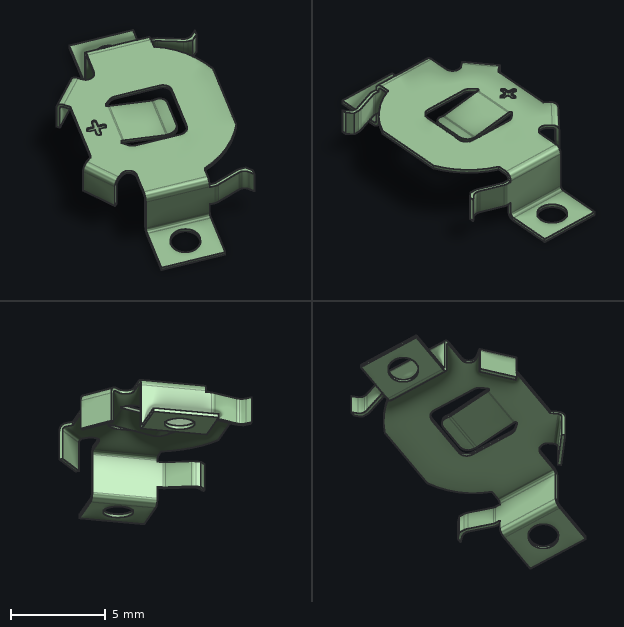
import math

import cadquery as cq

sheet = 0.2
total_length = 16.1
total_height = 2.95
band_width = 3.55
bend_inner = sheet
bend_mid = bend_inner + sheet / 2
bend_outer = bend_inner + sheet
sheet_mid_z = total_height - sheet / 2
overlap = 0.3

cover_radius = 4.75
cover_back_y = 4.3
cover_front_y = -3.7
wall_outer_x = 5.35
wall_bend_x = wall_outer_x - bend_outer

foot_hole_x = 6.65
foot_hole_diameter = 1.6

leg_angle = 50.0
leg_width = 2.0
leg_height = 2.0
leg_outer_radius = 4.79
leg_bend_radius = leg_outer_radius - bend_outer
leg_relief_radius = 0.45

window_half = 1.775
window_corner_radius = 0.5
window_taper_y = -1.42
window_taper_angle = 50.0
notch_y = -1.87
notch_radius = 0.06
tongue_width = 2.5
tongue_root_y = -1.79
tongue_bend_y = 0.62
tongue_tip_length = 0.67
tongue_drop_angle = 10.0
tongue_tip_angle = 10.0
tongue_corner_radius = 0.5

arm_top_z = total_height - 0.48
arm_height = 1.42
arm_straight_end_y = 2.05
arm_lean_angle = 20.0
arm_lean_length = 1.37
arm_flare_angle = 45.0
arm_root_bend_inner = 0.4
arm_lean_bend_inner = 0.5
arm_flare_bend_inner = 0.47
arm_flare_stock = 0.6

cross_y = -2.82
cross_length = 1.05
cross_bar_width = 0.24
cross_depth = 0.1


def bent_strip(plane, start, heading, steps, width):
    """Sheet strip swept along a bent path and extruded by width along the plane normal.

    start is a mid-thickness point and heading is in degrees. Each step is
    ("line", length), ("bend", turn, inner radius) or ("sharp bend", turn, inner radius),
    with left turns positive. A sharp bend is round inside and has a corner outside.
    """
    half = sheet / 2

    def polar(centre, radius, direction):
        angle = math.radians(direction)
        return centre[0] + radius * math.cos(angle), centre[1] + radius * math.sin(angle)

    def side_points(point, direction):
        return polar(point, half, direction + 90), polar(point, half, direction - 90)

    point = start
    first_left, right_start = side_points(point, heading)
    left_path = []
    right_path = []
    for kind, amount, *radius in steps:
        left_via, right_via = None, None
        if kind == "line":
            point = polar(point, amount, heading)
        else:
            inner = radius[0]
            outer = inner + sheet
            toward_centre = math.copysign(90, amount)
            centre = polar(point, inner + half, heading + toward_centre)
            outward = heading + amount / 2 - toward_centre
            inner_via = ("arc", polar(centre, inner, outward))
            outer_via = ("arc", polar(centre, outer, outward))
            if kind == "sharp bend":
                corner_radius = outer / math.cos(math.radians(amount / 2))
                outer_via = ("corner", polar(centre, corner_radius, outward))
            left_via, right_via = (inner_via, outer_via) if amount > 0 else (outer_via, inner_via)
            heading += amount
            point = polar(centre, inner + half, heading - toward_centre)
        left_end, right_end = side_points(point, heading)
        left_path.append((left_via, left_end))
        right_path.append((right_via, right_start))
        right_start = right_end

    def draw(outline, path):
        for via, end in path:
            if via and via[0] == "arc":
                outline = outline.threePointArc(via[1], end)
            elif via:
                outline = outline.lineTo(*via[1]).lineTo(*end)
            else:
                outline = outline.lineTo(*end)
        return outline

    outline = draw(cq.Workplane(plane).moveTo(*first_left), left_path)
    outline = draw(outline.lineTo(*right_start), reversed(right_path))
    return outline.close().extrude(width)


def mirrored(body):
    """The body together with its mirror image across the YZ plane."""
    return body.union(body.mirror("YZ"))


def leg_point(radial, sideways):
    """Plan point of the right leg; sideways is positive toward the side band."""
    c = math.cos(math.radians(leg_angle))
    s = math.sin(math.radians(leg_angle))
    return radial * c + sideways * s, -radial * s + sideways * c


def half_cover_outline():
    """Right half of the flat plate, closed along the Y axis."""
    half_band = band_width / 2
    back_x = math.sqrt(cover_radius**2 - cover_back_y**2)
    shoulder_x = math.sqrt(cover_radius**2 - half_band**2)
    arc_angle = (math.atan2(cover_back_y, back_x) + math.atan2(half_band, shoulder_x)) / 2
    arc_mid = (cover_radius * math.cos(arc_angle), cover_radius * math.sin(arc_angle))

    c = math.cos(math.radians(leg_angle))
    s = math.sin(math.radians(leg_angle))
    r = leg_relief_radius
    relief_y = -half_band - r
    relief_sideways = leg_width / 2 + r
    relief_x = (relief_sideways - relief_y * c) / s
    relief_radial = relief_x * c - relief_y * s
    band_touch_angle = 90
    leg_touch_angle = 270 - leg_angle
    mid_angle = math.radians((band_touch_angle + leg_touch_angle) / 2)
    relief_mid = (relief_x + r * math.cos(mid_angle), relief_y + r * math.sin(mid_angle))

    front_corner_radial = (-cover_front_y - leg_width / 2 * c) / s
    return (
        cq.Workplane("XY", origin=(0, 0, total_height - sheet))
        .moveTo(0, cover_back_y)
        .lineTo(back_x, cover_back_y)
        .threePointArc(arc_mid, (shoulder_x, half_band))
        .lineTo(wall_bend_x, half_band)
        .lineTo(wall_bend_x, -half_band)
        .lineTo(relief_x, -half_band)
        .threePointArc(relief_mid, leg_point(relief_radial, leg_width / 2))
        .lineTo(*leg_point(leg_bend_radius, leg_width / 2))
        .lineTo(*leg_point(leg_bend_radius, -leg_width / 2))
        .lineTo(*leg_point(front_corner_radial, -leg_width / 2))
        .lineTo(0, cover_front_y)
        .close()
    )


def window_cutter():
    taper_run = (window_taper_y - notch_y) / math.tan(math.radians(window_taper_angle))
    notch_x = window_half - taper_run
    half_tongue = tongue_width / 2
    right_side = [
        (half_tongue, tongue_root_y),
        (half_tongue, notch_y),
        (notch_x, notch_y),
        (window_half, window_taper_y),
        (window_half, window_half),
    ]
    left_side = [(-x, y) for x, y in reversed(right_side)]
    cutter = (
        cq.Workplane("XY", origin=(0, 0, total_height - sheet))
        .polyline(right_side + left_side)
        .close()
        .extrude(sheet)
    )

    pick_margin = 0.01

    def upright_edges(y):
        reach = window_half + sheet
        low_corner = (-reach, y - pick_margin, 0)
        high_corner = (reach, y + pick_margin, total_height)
        zone = cq.selectors.BoxSelector(low_corner, high_corner)
        return cutter.edges("|Z").edges(zone)

    for y, radius in (
        (window_half, window_corner_radius),
        (window_taper_y, window_corner_radius),
        (notch_y, notch_radius),
    ):
        cutter = upright_edges(y).fillet(radius)
    return cutter


def cross_recess():
    floor_z = total_height - cross_depth
    floor = cq.Workplane("XY", origin=(0, cross_y, floor_z))
    bar = floor.slot2D(cross_length, cross_bar_width).extrude(cross_depth)
    return bar.union(bar.rotate((0, cross_y, 0), (0, cross_y, 1), 90))


def cover():
    plate = mirrored(half_cover_outline().extrude(sheet))
    return plate.cut(window_cutter()).cut(cross_recess())


def wall_and_foot():
    """Right upright wall bent down from the band, with its drilled foot."""
    foot_bend_x = wall_outer_x + bend_inner
    steps = [
        ("line", overlap),
        ("bend", -90, bend_inner),
        ("line", total_height - 2 * bend_outer),
        ("bend", 90, bend_inner),
        ("line", total_length / 2 - foot_bend_x),
    ]
    plane = cq.Plane(origin=(0, band_width / 2, 0), xDir=(1, 0, 0), normal=(0, -1, 0))
    strip = bent_strip(plane, (wall_bend_x - overlap, sheet_mid_z), 0, steps, band_width)
    hole = cq.Workplane("XY").center(foot_hole_x, 0).circle(foot_hole_diameter / 2).extrude(sheet)
    return strip.cut(hole)


def leg():
    """Right front leg, bent straight down from the rim."""
    steps = [
        ("line", overlap),
        ("bend", -90, bend_inner),
        ("line", leg_height - bend_outer),
    ]
    plane = cq.Plane(origin=(0, leg_width / 2, 0), xDir=(1, 0, 0), normal=(0, -1, 0))
    strip = bent_strip(plane, (leg_bend_radius - overlap, sheet_mid_z), 0, steps, leg_width)
    return strip.rotate((0, 0, 0), (0, 0, 1), -leg_angle)


def spring_arm():
    """Right spring arm: leans inward from the wall, then flares outward at its tip."""
    root_y = band_width / 2 - overlap
    steps = [
        ("line", arm_straight_end_y - root_y),
        ("bend", arm_lean_angle, arm_root_bend_inner),
        ("line", arm_lean_length),
        ("bend", -arm_lean_angle, arm_lean_bend_inner),
        ("sharp bend", -arm_flare_angle, arm_flare_bend_inner),
        ("line", arm_flare_stock),
    ]
    plane = cq.Plane(origin=(0, 0, arm_top_z - arm_height), xDir=(1, 0, 0), normal=(0, 0, 1))
    strip = bent_strip(plane, (wall_outer_x - sheet / 2, root_y), 90, steps, arm_height)
    keep = cq.Workplane("XY").box(total_length, 2 * cover_back_y, 2 * total_height)
    return strip.intersect(keep)


def tongue():
    """Contact tongue sloping down into the window, with an upturned round-cornered tip."""
    drop = math.radians(tongue_drop_angle)
    slope_run = tongue_bend_y - tongue_root_y - bend_mid * math.sin(drop)
    slope_length = slope_run / math.cos(drop)
    turn_up = tongue_drop_angle + tongue_tip_angle
    steps = [
        ("line", overlap),
        ("bend", -tongue_drop_angle, bend_inner),
        ("line", slope_length),
        ("bend", turn_up, bend_inner),
        ("line", tongue_tip_length),
    ]
    plane = cq.Plane(origin=(-tongue_width / 2, 0, 0), xDir=(0, 1, 0), normal=(1, 0, 0))
    strip = bent_strip(plane, (tongue_root_y - overlap, sheet_mid_z), 0, steps, tongue_width)
    return strip.faces(">Y").edges("not |X").fillet(tongue_corner_radius)


side_features = wall_and_foot().union(spring_arm()).union(leg())
result = cover().union(mirrored(side_features)).union(tongue()).clean()